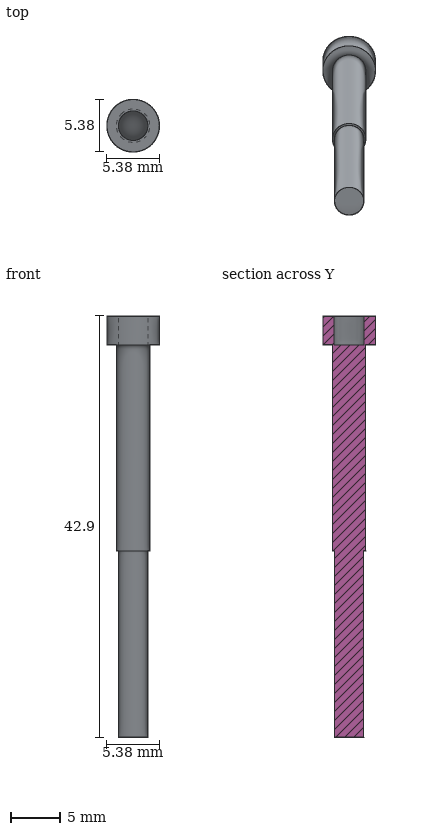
import cadquery as cq

head_diameter = 5.38
head_height = 2.93
shank_diameter = 3.4
shank_length = 21.0
tip_diameter = 3.0
tip_length = 19.0
socket_diameter = 3.0
socket_depth = head_height


def add_section(body, diameter, length):
    """Extend the pin upward by one concentric cylinder."""
    return body.faces(">Z").workplane().circle(diameter / 2).extrude(length)


def cut_socket(body):
    """Sink a flat-bottomed round socket into the top of the head."""
    return body.faces(">Z").workplane().hole(socket_diameter, socket_depth)


pin = cq.Workplane("XY").circle(tip_diameter / 2).extrude(tip_length)
pin = add_section(pin, shank_diameter, shank_length)
pin = add_section(pin, head_diameter, head_height)

result = cut_socket(pin)